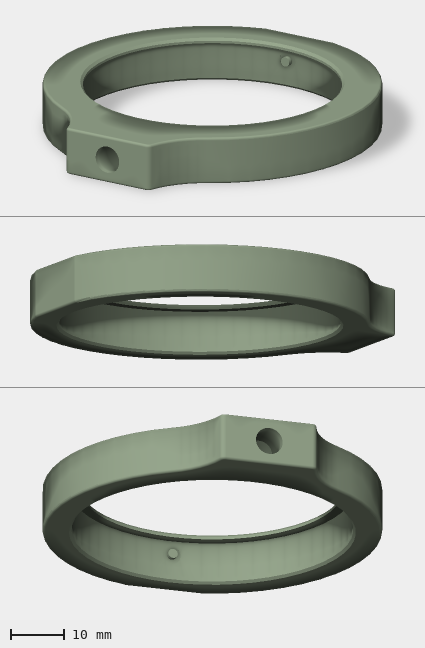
import cadquery as cq
import math

overall_length = 67.0
thickness = 9.0
ring_radius = 31.5
bore_radius = 24.05
flat_y = 30.55
edge_radius = 0.5
bore_chamfer = 0.5

recess_radius = 26.1
lip_height = 0.95

tab_end_y = flat_y - overall_length
flank_radius = 15.0
flank_start_x = 16.1
tab_corner_radius = 1.0

mount_hole_diameter = 5.15
mount_hole_depth = 6.7
drill_point_angle = 118.0

middle_z = thickness / 2

screw_diameter = 3.4
screw_z = 5.3
pin_diameter = 1.8
pin_protrusion = 0.95
pin_seat_depth = 1.35


def ring_outline():
    """Ring with a flat at +Y and a tab at -Y with concave flanks."""
    flat_x = math.sqrt(ring_radius**2 - flat_y**2)
    flank_start_y = -math.sqrt(ring_radius**2 - flank_start_x**2)
    reach = (ring_radius + flank_radius) / ring_radius
    center_x = flank_start_x * reach
    center_y = flank_start_y * reach
    tab_x = center_x - math.sqrt(flank_radius**2 - (tab_end_y - center_y)**2)

    start_angle = math.atan2(flank_start_y - center_y, flank_start_x - center_x)
    end_angle = math.atan2(tab_end_y - center_y, tab_x - center_x)
    middle_angle = (start_angle + end_angle) / 2
    flank_x = center_x + flank_radius * math.cos(middle_angle)
    flank_y = center_y + flank_radius * math.sin(middle_angle)

    return (
        cq.Workplane("XY")
        .moveTo(-flat_x, flat_y)
        .lineTo(flat_x, flat_y)
        .threePointArc((ring_radius, 0), (flank_start_x, flank_start_y))
        .threePointArc((flank_x, flank_y), (tab_x, tab_end_y))
        .lineTo(-tab_x, tab_end_y)
        .threePointArc((-flank_x, flank_y), (-flank_start_x, flank_start_y))
        .threePointArc((-ring_radius, 0), (-flat_x, flat_y))
        .close()
    )


def cylinder_along_y(diameter, center_z, start_y, end_y):
    """Cylinder on the X = 0 plane running from start_y up to end_y."""
    profile = cq.Workplane("XZ", origin=(0, start_y, center_z)).circle(diameter / 2)
    return profile.extrude(start_y - end_y)


def mount_hole():
    """Blind drilled hole with a conical end."""
    radius = mount_hole_diameter / 2
    bottom_y = tab_end_y + mount_hole_depth
    point_length = radius / math.tan(math.radians(drill_point_angle / 2))
    point = cq.Solid.makeCone(
        radius, 0, point_length, pnt=cq.Vector(0, bottom_y, middle_z), dir=cq.Vector(0, 1, 0)
    )
    return cylinder_along_y(mount_hole_diameter, middle_z, tab_end_y, bottom_y).union(cq.Workplane(point))


def bore():
    """Bore with its wider recess, chamfered at both mouths."""
    lip_bottom = thickness - lip_height
    return (
        cq.Workplane("XZ")
        .moveTo(0, 0)
        .lineTo(recess_radius + bore_chamfer, 0)
        .lineTo(recess_radius, bore_chamfer)
        .lineTo(recess_radius, lip_bottom)
        .lineTo(bore_radius, lip_bottom)
        .lineTo(bore_radius, thickness - bore_chamfer)
        .lineTo(bore_radius + bore_chamfer, thickness)
        .lineTo(0, thickness)
        .close()
        .revolve(360, (0, 0, 0), (0, 1, 0))
    )


def make_ring():
    ring = ring_outline().extrude(thickness)
    ring = ring.faces("<Y").edges("|Z").fillet(tab_corner_radius)
    ring = ring.faces("<Z or >Z").edges().fillet(edge_radius)

    ring = ring.cut(bore())

    screw_hole = cylinder_along_y(screw_diameter, screw_z, 0, flat_y)
    return ring.cut(screw_hole).cut(mount_hole())


def make_pin():
    return cylinder_along_y(
        pin_diameter, screw_z, recess_radius - pin_protrusion, recess_radius + pin_seat_depth
    )


def make_screw():
    """Plain screw body with a seat that fits the pin."""
    return cylinder_along_y(screw_diameter, screw_z, recess_radius, flat_y).cut(make_pin())


ring = make_ring()
screw = make_screw()
pin = make_pin()
result = cq.Compound.makeCompound([ring.solids().val(), screw.solids().val(), pin.val()])